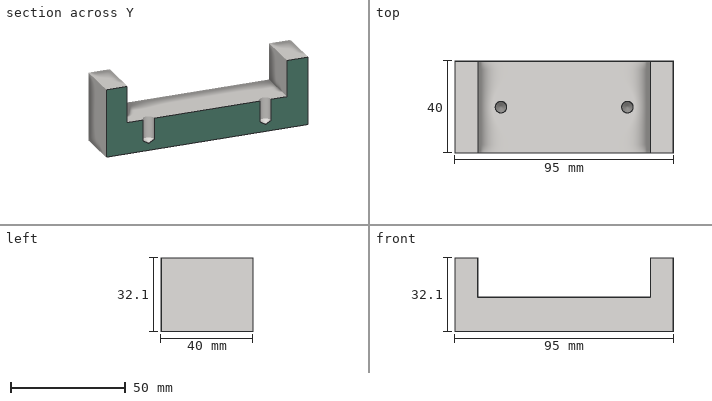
import math

import cadquery as cq

length = 95.0
width = 40.0
height = 32.1

wall_thickness = 10.0
floor_thickness = 15.0

hole_diameter = 5.0
hole_depth = 10.0
hole_spacing = 55.0
drill_point_angle = 118.0


def make_block():
    """U-shaped block standing on Z = 0, centred in X and Y."""
    block = cq.Workplane("XY").box(length, width, height, centered=(True, True, False))
    channel = (
        cq.Workplane("XY", origin=(0, 0, floor_thickness))
        .box(length - 2 * wall_thickness, width, height - floor_thickness, centered=(True, True, False))
    )
    return block.cut(channel)


def make_drilled_hole(x):
    """Cutter for one flat-mouthed hole with a conical drill point, revolved about its vertical axis."""
    radius = hole_diameter / 2
    point_depth = radius / math.tan(math.radians(drill_point_angle / 2))
    return (
        cq.Workplane("XZ", origin=(x, 0, floor_thickness))
        .lineTo(radius, 0)
        .lineTo(radius, -hole_depth)
        .lineTo(0, -hole_depth - point_depth)
        .close()
        .revolve(360, (0, 0), (0, 1))
    )


result = make_block()
for side in (-1, 1):
    result = result.cut(make_drilled_hole(side * hole_spacing / 2))